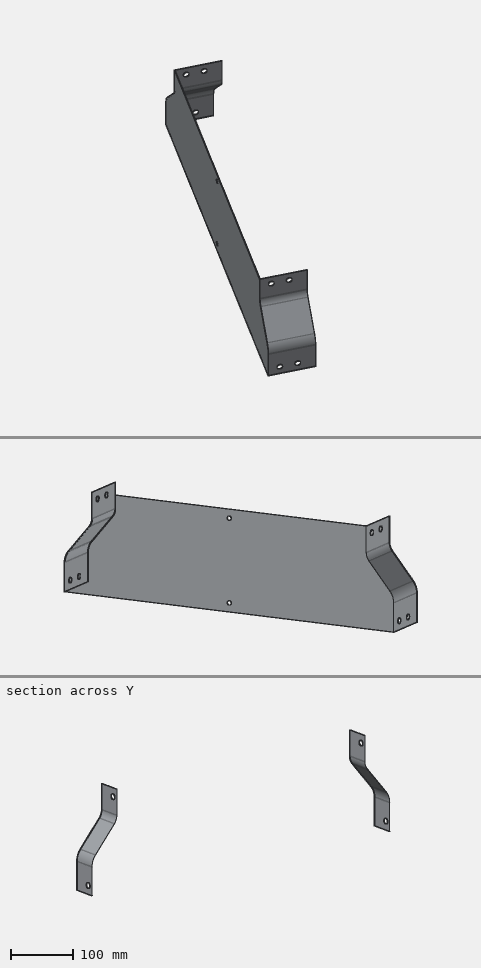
import cadquery as cq
import math

length = 600.0
depth = 80.0
height = 170.0
sheet = 1.5

side_step = 50.0
slope_angle = 40.0
lower_corner_z = 59.5
upper_corner_z = lower_corner_z + side_step / math.tan(math.radians(slope_angle))
lower_bend_radius = 30.0
upper_bend_radius = 20.0

panel_hole_diameter = 7.0
hole_edge_offset = 15.0
hole_levels = (hole_edge_offset, height - hole_edge_offset)
flange_hole_diameter = 9.5
flange_hole_depths = (20.0, 50.0)


def round_bends(block, half_width, z, radius):
    """Round the pair of edges along Y at the given half width and height."""
    corner_box = cq.selectors.BoxSelector(
        (-half_width - sheet, -sheet, z - sheet),
        (half_width + sheet, depth + sheet, z + sheet),
    )
    return block.edges("|Y").edges(corner_box).fillet(radius)


def stepped_block(inset):
    """Solid of full depth whose ends follow the side profile, moved inward by inset."""
    half_bottom = length / 2 - inset
    half_top = half_bottom - side_step
    corner_shift = inset * math.tan(math.radians(slope_angle / 2))
    lower_z = lower_corner_z - corner_shift
    upper_z = upper_corner_z - corner_shift
    right_side = [(half_bottom, 0), (half_bottom, lower_z), (half_top, upper_z), (half_top, height)]
    left_side = [(-x, z) for x, z in reversed(right_side)]
    block = cq.Workplane("XZ").polyline(right_side + left_side).close().extrude(-depth)
    block = round_bends(block, half_bottom, lower_z, lower_bend_radius - inset)
    return round_bends(block, half_top, upper_z, upper_bend_radius + inset)


interior = stepped_block(sheet).translate((0, sheet, 0))
body = stepped_block(0).cut(interior)

panel_holes = (
    cq.Workplane("XZ")
    .pushPoints([(0, z) for z in hole_levels])
    .circle(panel_hole_diameter / 2)
    .extrude(-depth)
)

flange_holes = (
    cq.Workplane("YZ")
    .pushPoints([(y, z) for y in flange_hole_depths for z in hole_levels])
    .circle(flange_hole_diameter / 2)
    .extrude(length / 2, both=True)
)

result = body.cut(panel_holes).cut(flange_holes)